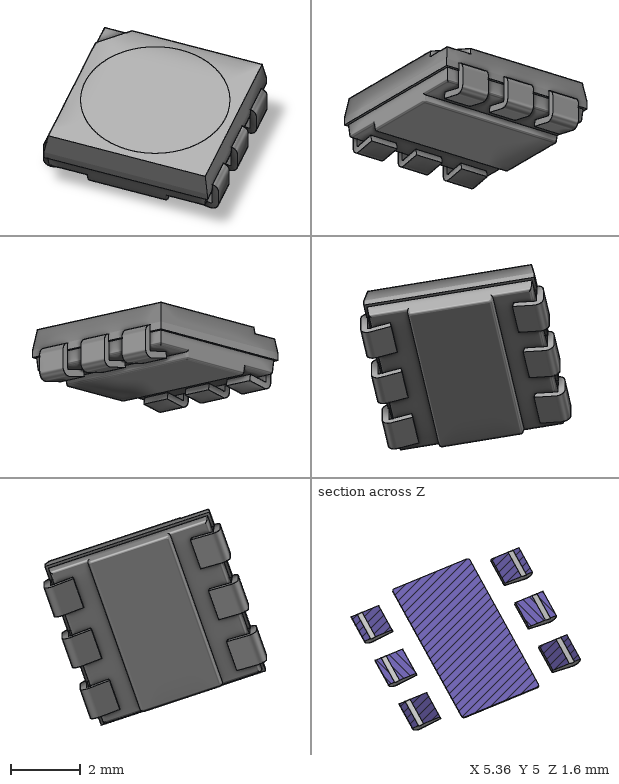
import cadquery as cq
import math

rim_size = 5.0
rim_bottom_z = 0.77
rim_top_z = 0.985
top_z = 1.6
cap_top_size = 4.8
cap_height = top_z - rim_top_z
cap_draft = math.degrees(math.atan((rim_size - cap_top_size) / 2 / cap_height))

base_size = 4.835
base_draft = 5.0
plate_bottom_z = 0.35
pedestal_length = 2.66
pedestal_end_draft = 10.0
pedestal_bottom_z = 0.13
base_fillet = 0.08

mark_depth = 0.195
mark_leg = 0.975
mark_draft = 9.0

lens_diameter = 4.3

lead_span = 5.36
lead_thickness = 0.2
lead_width = 0.91
lead_pitch = 1.6
lead_count = 3
lead_top_z = 0.98
bend_inner_radius = 0.04
bend_outer_radius = bend_inner_radius + lead_thickness
foot_angle = 10.0
foot_length = 0.64


def tapered_block(side, base_z, height, draft):
    """Square block that narrows by the draft angle; a negative height goes down."""
    block = cq.Workplane("XY").rect(side, side).extrude(abs(height), taper=draft)
    if height < 0:
        block = block.mirror("XY")
    return block.translate((0, 0, base_z))


def make_pedestal():
    """Middle part of the base, with its own draft on the two ends along X."""
    depth = rim_bottom_z - pedestal_bottom_z
    top_x = pedestal_length / 2
    bottom_x = top_x - depth * math.tan(math.radians(pedestal_end_draft))
    wedge = (
        cq.Workplane("XZ")
        .polyline([
            (-top_x, rim_bottom_z),
            (-bottom_x, pedestal_bottom_z),
            (bottom_x, pedestal_bottom_z),
            (top_x, rim_bottom_z),
        ])
        .close()
        .extrude(base_size / 2, both=True)
    )
    pedestal = tapered_block(base_size, rim_bottom_z, -depth, base_draft).intersect(wedge)
    pedestal = pedestal.edges("not #Z").fillet(base_fillet)
    return pedestal.faces("<Z").edges().fillet(base_fillet)


def make_base():
    """Drafted plate with a deeper pedestal across its middle, rounded below."""
    plate = tapered_block(base_size, rim_bottom_z, plate_bottom_z - rim_bottom_z, base_draft)
    plate = plate.faces("<Z").edges().fillet(base_fillet)
    return plate.union(make_pedestal())


def make_corner_mark():
    """Triangular cutter whose diagonal wall leans back as it rises."""
    corner = rim_size / 2
    return (
        cq.Workplane("XY", origin=(-corner, corner, top_z - mark_depth))
        .polyline([(0, 0), (mark_leg, 0), (0, -mark_leg)])
        .close()
        .extrude(mark_depth, taper=-mark_draft)
    )


def make_lens():
    return (
        cq.Workplane("XY", origin=(0, 0, rim_top_z))
        .circle(lens_diameter / 2)
        .extrude(top_z - rim_top_z)
    )


def make_lead(y):
    """One strip centred on y, with a bent leg and foot at both ends."""
    outer_x = -lead_span / 2
    inner_x = outer_x + lead_thickness
    bend_x = outer_x + bend_outer_radius
    bend_z = bend_outer_radius
    angle = math.radians(foot_angle)
    corner_ratio = math.tan((math.pi / 2 + angle) / 2)
    outer_corner = (outer_x, bend_z - bend_outer_radius * corner_ratio)
    inner_corner = (inner_x, bend_z - bend_inner_radius * corner_ratio)

    def tip(radius):
        return (
            bend_x + radius * math.sin(angle) + foot_length * math.cos(angle),
            bend_z - radius * math.cos(angle) + foot_length * math.sin(angle),
        )

    half = (
        cq.Workplane("XZ", origin=(0, y + lead_width / 2, 0))
        .moveTo(0, lead_top_z)
        .lineTo(outer_x, lead_top_z)
        .lineTo(*outer_corner)
        .lineTo(*tip(bend_outer_radius))
        .lineTo(*tip(bend_inner_radius))
        .lineTo(*inner_corner)
        .lineTo(inner_x, lead_top_z - lead_thickness)
        .lineTo(0, lead_top_z - lead_thickness)
        .close()
        .extrude(lead_width)
    )
    half = half.faces("<X").edges("|Y").fillet(bend_outer_radius)
    inner_wall = cq.selectors.NearestToPointSelector((inner_x, y, rim_bottom_z / 2))
    half = half.faces(inner_wall).edges("|Y").fillet(bend_inner_radius)
    return half.union(half.mirror("YZ"))


def make_housing(inserts):
    """Housing with a matching recess for every inserted body."""
    rim = (
        cq.Workplane("XY", origin=(0, 0, rim_bottom_z))
        .rect(rim_size, rim_size)
        .extrude(rim_top_z - rim_bottom_z)
    )
    cap = tapered_block(rim_size, rim_top_z, cap_height, cap_draft)
    body = rim.union(cap).union(make_base()).cut(make_corner_mark())
    for insert in inserts:
        body = body.cut(insert)
    return body


lens = make_lens()
leads = [make_lead((i - (lead_count - 1) / 2) * lead_pitch) for i in range(lead_count)]
housing = make_housing([lens, *leads])

bodies = [housing, lens, *leads]
result = cq.Compound.makeCompound([body.solids().val() for body in bodies])